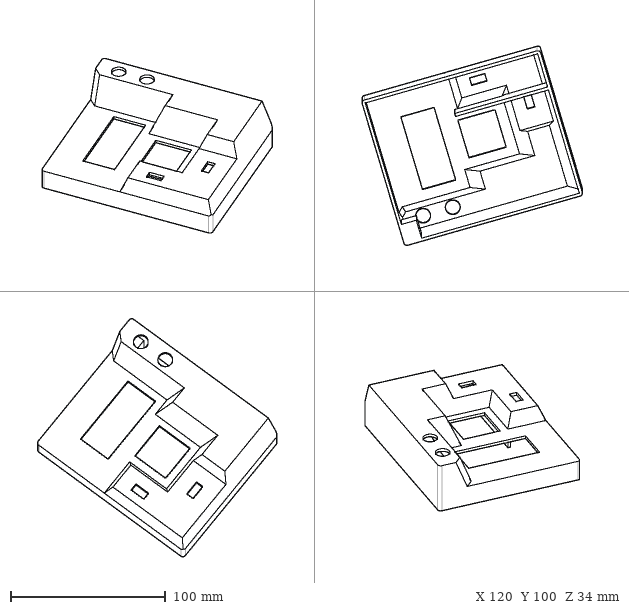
import cadquery as cq

length = 120.0
width = 100.0
base_height = 14.0
middle_height = 24.0
top_height = 34.0
wall = 2.0
corner_radius = 2.0
slope = 0.4
overshoot = 6.0

rear_face_y = 75.0
notch_face_x = 48.6
center_face_y = 62.6
right_face_x = 85.5
front_arm_y = 26.9
front_arm_x = 55.5
corner_cut = 5.0

step_foot_y = 50.0

low_deck_windows = [
    (31.9, 44.9, 22.3, 49.9),
    (67.9, 45.2, 25.0, 25.8),
]
middle_deck_slots = [
    (75.0, 12.2, 10.2, 5.0),
    (102.5, 34.7, 5.0, 10.2),
]
button_diameter = 9.5
button_y = 90.7
button_xs = [15.1, 35.0]

post_size_x = 12.0
post_size_y = 14.4


def recess(inset):
    """Space above the low deck, widening upward; inset thickens the space on all sides."""
    def outline(spread):
        rear_y = rear_face_y + spread
        right_x = right_face_x + spread
        arm_x = front_arm_x + spread
        cut_end = corner_cut + overshoot
        return [
            (-overshoot, rear_y + cut_end),
            (corner_cut, rear_y),
            (notch_face_x + spread, rear_y),
            (notch_face_x + spread, center_face_y + spread),
            (right_x, center_face_y + spread),
            (right_x, front_arm_y - spread),
            (arm_x, front_arm_y - spread),
            (arm_x, -overshoot),
            (-overshoot, -overshoot),
        ]

    rise = top_height - base_height
    return (
        cq.Workplane("XY", origin=(0, 0, base_height - inset))
        .polyline(outline(inset)).close()
        .workplane(offset=rise)
        .polyline(outline(inset + slope * rise)).close()
        .loft(ruled=True)
    )


def stepped_block(inset):
    """Body with its bevels, step and recess, drawn in by inset from the outer faces."""
    shoulder = base_height - inset
    middle = middle_height - inset
    top = top_height - inset
    middle_run = slope * (middle - shoulder)
    top_run = slope * (top - shoulder)
    step_run = slope * (top - middle)
    step_y = step_foot_y + inset

    side_profile = [
        (inset, 0),
        (inset, shoulder),
        (inset + middle_run, middle),
        (step_y, middle),
        (step_y + step_run, top),
        (width - inset, top),
        (width - inset, 0),
    ]
    front_profile = [
        (inset, 0),
        (inset, top),
        (length - inset - top_run, top),
        (length - inset, shoulder),
        (length - inset, 0),
    ]
    along_x = cq.Workplane("YZ").polyline(side_profile).close().extrude(length)
    along_y = cq.Workplane("XZ").polyline(front_profile).close().extrude(-width)
    return along_x.intersect(along_y).cut(recess(inset))


def deck_opening(deck_height, center_x, center_y, size_x, size_y):
    """Rectangular cutter through one deck."""
    return (
        cq.Workplane("XY", origin=(center_x, center_y, deck_height - wall))
        .rect(size_x, size_y).extrude(wall)
    )


rounded_box = (
    cq.Workplane("XY").box(length, width, top_height, centered=False)
    .edges("|Z").fillet(corner_radius)
)
result = stepped_block(0).intersect(rounded_box).cut(stepped_block(wall))

post = (
    cq.Workplane("XY", origin=(0, width - post_size_y, 0))
    .box(post_size_x, post_size_y, base_height, centered=False)
    .intersect(rounded_box)
)
result = result.union(post)

rib = (
    cq.Workplane("XY", origin=(front_arm_x, front_arm_y - wall, 0))
    .box(length - wall - front_arm_x, wall, base_height, centered=False)
)
result = result.union(rib)

for window in low_deck_windows:
    result = result.cut(deck_opening(base_height, *window))
for slot in middle_deck_slots:
    result = result.cut(deck_opening(middle_height, *slot))

buttons = (
    cq.Workplane("XY", origin=(0, 0, top_height - wall))
    .pushPoints([(x, button_y) for x in button_xs])
    .circle(button_diameter / 2).extrude(wall)
)
result = result.cut(buttons)